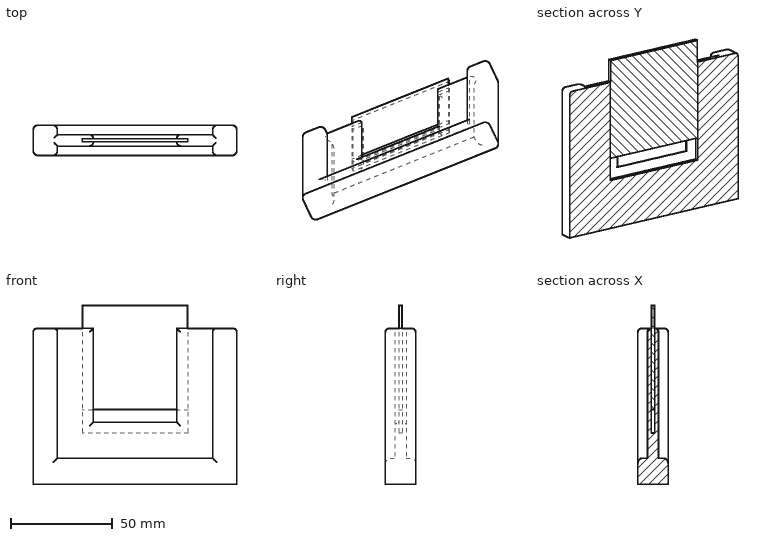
import cadquery as cq

WIDTH = 100.0
DEPTH = 15.0
FRAME_HEIGHT = 76.5
OUTER_RADIUS = 2.6

PLATE_WIDTH = 51.6
PLATE_HEIGHT = 51.2
PLATE_THICKNESS = 1.6
TOTAL_HEIGHT = 87.8

EDGE_RADIUS = 2.0
PANEL_THICKNESS = PLATE_THICKNESS + 2 * EDGE_RADIUS
RECESS_WIDTH = 76.0
RECESS_FLOOR = 12.9
RECESS_DEPTH = (DEPTH - PANEL_THICKNESS) / 2

WINDOW_WIDTH = 40.9
WINDOW_FLOOR = 30.5

SLOT_FLOOR = FRAME_HEIGHT - PLATE_HEIGHT

TOLERANCE = 0.01


def block(width, depth, floor, top, center_y=0):
    """Box centred on X, between two heights."""
    return (
        cq.Workplane("XY", origin=(0, center_y, floor))
        .rect(width, depth)
        .extrude(top - floor)
    )


def edges_in(shape, width, depth, floor, top, center_y=0):
    """Edges that lie wholly within a box centred on X."""
    corner_x = width / 2 + TOLERANCE
    return shape.edges(
        cq.selectors.BoxSelector(
            (-corner_x, center_y - depth / 2 - TOLERANCE, floor - TOLERANCE),
            (corner_x, center_y + depth / 2 + TOLERANCE, top + TOLERANCE),
            boundingbox=True,
        )
    )


def make_frame():
    frame = block(WIDTH, DEPTH, 0, FRAME_HEIGHT).edges("|Z").fillet(OUTER_RADIUS)

    for side in (-1, 1):
        recess_y = side * (DEPTH - RECESS_DEPTH) / 2
        frame = frame.cut(block(RECESS_WIDTH, RECESS_DEPTH, RECESS_FLOOR, FRAME_HEIGHT, recess_y))
        rim = edges_in(frame, RECESS_WIDTH, 0, RECESS_FLOOR, FRAME_HEIGHT, side * DEPTH / 2)
        frame = rim.fillet(OUTER_RADIUS)

    frame = frame.cut(block(WINDOW_WIDTH, DEPTH, WINDOW_FLOOR, FRAME_HEIGHT))

    rims = [
        edge
        for side in (-1, 1)
        for edge in edges_in(
            frame, WINDOW_WIDTH, 0, WINDOW_FLOOR, FRAME_HEIGHT, side * PANEL_THICKNESS / 2
        ).vals()
    ]
    window_ends = edges_in(frame, WINDOW_WIDTH, PANEL_THICKNESS, FRAME_HEIGHT, FRAME_HEIGHT).vals()
    top_outline = [
        edge
        for edge in frame.faces(">Z").edges().vals()
        if not any(edge.isSame(end) for end in window_ends)
    ]
    frame = frame.newObject(rims + top_outline).fillet(EDGE_RADIUS)

    return frame.cut(block(PLATE_WIDTH, PLATE_THICKNESS, SLOT_FLOOR, FRAME_HEIGHT))


def make_plate():
    return block(PLATE_WIDTH, PLATE_THICKNESS, TOTAL_HEIGHT - PLATE_HEIGHT, TOTAL_HEIGHT)


frame = make_frame()
plate = make_plate()
result = cq.Compound.makeCompound([frame.solids().val(), plate.val()])